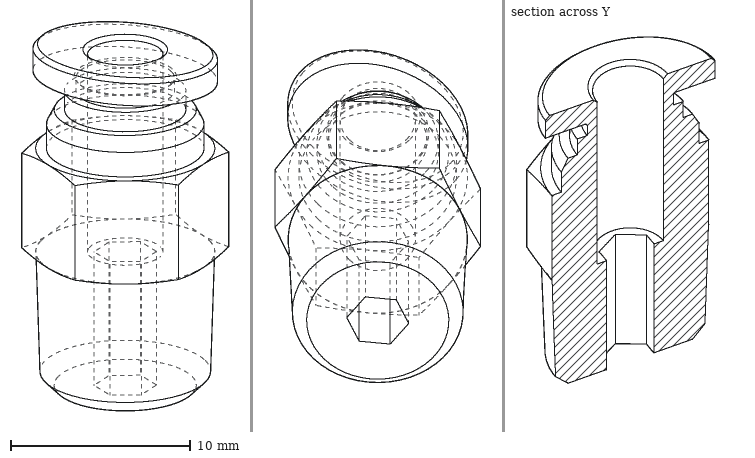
import cadquery as cq
import math

total_height = 20.1
thread_lead_height = 0.82
hex_bottom = 8.0
hex_top = 14.2
collar_chamfer_bottom = 15.65
collar_top = 16.5
sleeve_top = 17.67
button_bottom = 18.51

thread_top_diameter = 9.99
thread_taper = 1 / 16
thread_end_diameter = 7.94

hex_across_flats = 10.0
hex_chamfer_height = 0.26

collar_diameter = 8.8
collar_top_diameter = 7.94
sleeve_diameter = 6.77
neck_diameter = 5.5
neck_chamfer = 0.1

button_length_x = 10.8
button_width_y = 8.58
button_chamfer = 0.26

tube_bore_diameter = 4.2
bore_chamfer = 0.26
hex_socket_across_flats = 3.02


def hex_prism(across_flats, bottom, top):
    """Hexagonal prism with two corners on the Y axis."""
    corner_diameter = across_flats / math.cos(math.pi / 6)
    return (
        cq.Workplane("XY")
        .workplane(offset=bottom)
        .transformed(rotate=(0, 0, 90))
        .polygon(6, corner_diameter)
        .extrude(top - bottom)
    )


def revolved(profile):
    """Turn a closed (radius, height) outline around the Z axis."""
    return cq.Workplane("XZ").polyline(profile).close().revolve(360, (0, 0, 0), (0, 1, 0))


def thread_body():
    lead_diameter = thread_top_diameter - thread_taper * (hex_bottom - thread_lead_height)
    return revolved([
        (0, 0),
        (thread_end_diameter / 2, 0),
        (lead_diameter / 2, thread_lead_height),
        (thread_top_diameter / 2, hex_bottom),
        (0, hex_bottom),
    ])


def wrench_hexagon():
    """Hexagon whose corners are trimmed by a shallow cone at each end."""
    flat_radius = hex_across_flats / 2
    corner_radius = flat_radius / math.cos(math.pi / 6)
    trimming_body = revolved([
        (0, hex_bottom),
        (flat_radius, hex_bottom),
        (corner_radius, hex_bottom + hex_chamfer_height),
        (corner_radius, hex_top - hex_chamfer_height),
        (flat_radius, hex_top),
        (0, hex_top),
    ])
    return hex_prism(hex_across_flats, hex_bottom, hex_top).intersect(trimming_body)


def collar_and_sleeve():
    return revolved([
        (0, hex_top),
        (collar_diameter / 2, hex_top),
        (collar_diameter / 2, collar_chamfer_bottom),
        (collar_top_diameter / 2, collar_top),
        (sleeve_diameter / 2, collar_top),
        (sleeve_diameter / 2, sleeve_top),
        (0, sleeve_top),
    ])


def release_button():
    """Oval cap with a chamfered rim, on a round neck that flares into its underside."""
    cap = (
        cq.Workplane("XY")
        .workplane(offset=button_bottom)
        .ellipse(button_length_x / 2, button_width_y / 2)
        .extrude(total_height - button_bottom)
        .faces(">Z")
        .chamfer(button_chamfer)
    )
    neck = (
        cq.Workplane("XY")
        .workplane(offset=sleeve_top)
        .circle(neck_diameter / 2)
        .extrude(button_bottom - sleeve_top)
    )
    neck_joint = cq.selectors.NearestToPointSelector((0, 0, button_bottom))
    return cap.union(neck).edges("%CIRCLE").edges(neck_joint).chamfer(neck_chamfer)


def tube_bore():
    """Blind round bore for the tube, ending level with the bottom of the hexagon."""
    bore_radius = tube_bore_diameter / 2
    return revolved([
        (0, hex_bottom),
        (bore_radius, hex_bottom),
        (bore_radius, total_height - bore_chamfer),
        (bore_radius + bore_chamfer, total_height),
        (0, total_height),
    ])


outside = (
    thread_body()
    .union(wrench_hexagon())
    .union(collar_and_sleeve())
    .union(release_button())
)
hex_socket = hex_prism(hex_socket_across_flats, 0, hex_bottom)
result = outside.cut(tube_bore()).cut(hex_socket)